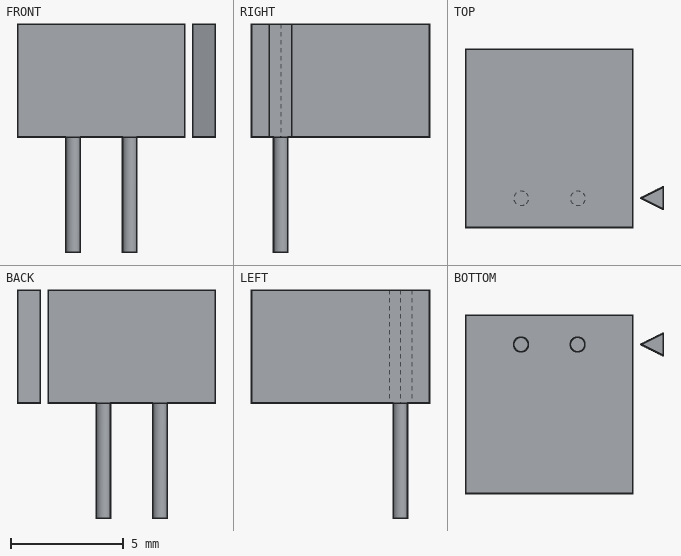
import cadquery as cq

housing_width = 7.4
housing_depth = 7.9
housing_height = 5.0

pin_diameter = 0.65
pin_length = 10.1 - housing_height
pin_spacing = 2.5
pin_row_y = 1.3

marker_gap = 0.34
marker_size = 1.0


def make_housing():
    return cq.Workplane("XY").box(
        housing_width, housing_depth, housing_height, centered=(True, False, False)
    )


def make_pin(x):
    return cq.Workplane("XY").center(x, pin_row_y).circle(pin_diameter / 2).extrude(-pin_length)


def make_marker():
    tip_x = housing_width / 2 + marker_gap
    base_x = tip_x + marker_size
    outline = [
        (tip_x, pin_row_y),
        (base_x, pin_row_y - marker_size / 2),
        (base_x, pin_row_y + marker_size / 2),
    ]
    return cq.Workplane("XY").polyline(outline).close().extrude(housing_height)


housing = make_housing()
pins = [make_pin(side * pin_spacing / 2) for side in (-1, 1)]
marker = make_marker()

result = cq.Compound.makeCompound([housing.val(), *[pin.val() for pin in pins], marker.val()])